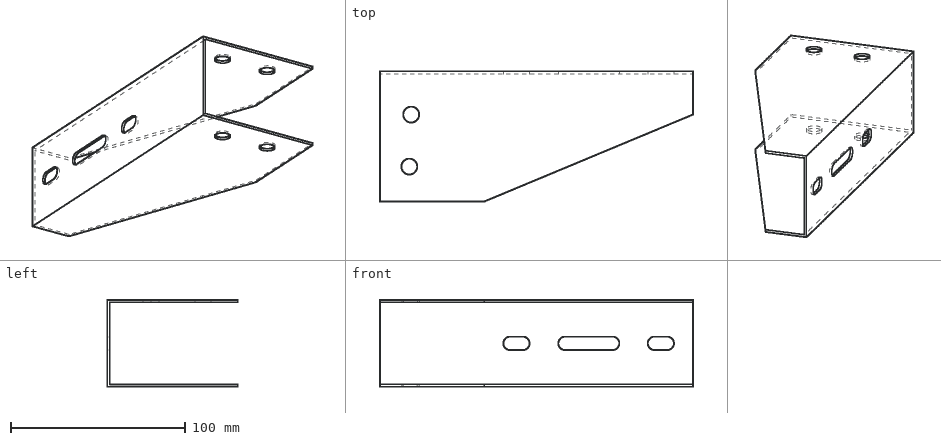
import cadquery as cq

length = 180.0
depth = 75.0
height = 50.0
sheet = 1.5

root_length = 60.0
tip_depth = 25.0

hole_diameter = 9.0
hole_places = [(18.0, 25.0), (17.0, 54.9)]

slot_width = 7.5
short_slot = 15.0
long_slot = 35.0
slots = [(78.5, short_slot), (120.0, long_slot), (161.5, short_slot)]


def make_channel():
    """Tapered block opened up between the flanges to leave a U channel."""
    outline = [
        (0, 0),
        (root_length, 0),
        (length, depth - tip_depth),
        (length, depth),
        (0, depth),
    ]
    block = cq.Workplane("XY").polyline(outline).close().extrude(height)
    opening = (
        cq.Workplane("XY")
        .box(length, depth - sheet, height - 2 * sheet, centered=False)
        .translate((0, 0, sheet))
    )
    return block.cut(opening)


def make_flange_holes():
    """Cutting cylinders that pierce both flanges."""
    centres = [(x, depth - from_back) for x, from_back in hole_places]
    return cq.Workplane("XY").pushPoints(centres).circle(hole_diameter / 2).extrude(height)


def make_web_slot(centre_x, slot_length):
    """Round-ended slot through the web at mid height."""
    return (
        cq.Workplane("XZ", origin=(centre_x, depth, height / 2))
        .slot2D(slot_length, slot_width)
        .extrude(sheet)
    )


result = make_channel().cut(make_flange_holes())
for centre_x, slot_length in slots:
    result = result.cut(make_web_slot(centre_x, slot_length))